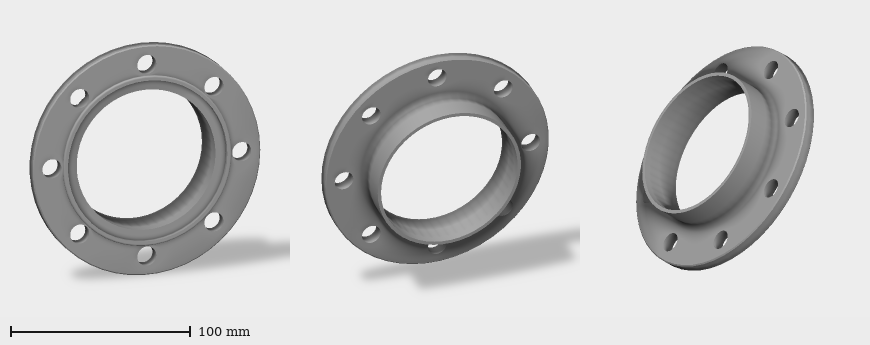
import cadquery as cq

total_length = 27.5
flange_start = 18.9
flange_end = 26.0
flange_diameter = 133.0
flange_chamfer = 0.7
neck_diameter = 85.1
bore_diameter = 81.1
neck_fillet = 2.9
face_diameter = 98.4
face_round = 1.0
recess_diameter = 93.1
recess_depth = 2.9
bolt_circle_diameter = 110.9
bolt_hole_diameter = 11.0
bolt_count = 8

neck_radius = neck_diameter / 2
bore_radius = bore_diameter / 2
flange_radius = flange_diameter / 2
face_radius = face_diameter / 2
recess_radius = recess_diameter / 2
recess_floor = total_length - recess_depth


def turned_body():
    """Neck, root fillet, chamfered flange and recessed, rounded raised face, revolved about X."""
    return (
        cq.Workplane("XY")
        .moveTo(0, bore_radius)
        .lineTo(0, neck_radius)
        .lineTo(flange_start - neck_fillet, neck_radius)
        .radiusArc((flange_start, neck_radius + neck_fillet), -neck_fillet)
        .lineTo(flange_start, flange_radius - flange_chamfer)
        .lineTo(flange_start + flange_chamfer, flange_radius)
        .lineTo(flange_end - flange_chamfer, flange_radius)
        .lineTo(flange_end, flange_radius - flange_chamfer)
        .lineTo(flange_end, face_radius)
        .lineTo(total_length - face_round, face_radius)
        .radiusArc((total_length, face_radius - face_round), face_round)
        .lineTo(total_length, recess_radius)
        .lineTo(recess_floor, recess_radius)
        .lineTo(recess_floor, bore_radius)
        .close()
        .revolve(360, (0, 0, 0), (1, 0, 0))
    )


def bolt_holes():
    """Through-hole cutters, evenly spaced with the first on the Y axis."""
    return (
        cq.Workplane("YZ")
        .polarArray(bolt_circle_diameter / 2, 0, 360, bolt_count)
        .circle(bolt_hole_diameter / 2)
        .extrude(total_length)
    )


result = turned_body().cut(bolt_holes())